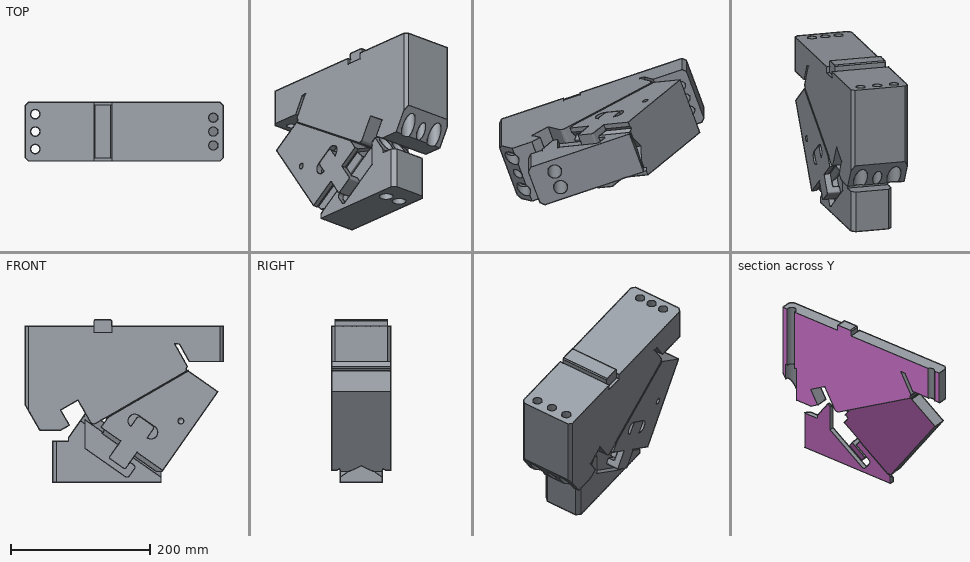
import cadquery as cq
import math


length = 285.0
width = 85.0
holder_top = 225.0
half_width = width / 2

guide_angle = 35.0
plate_angle = 30.0
roof_angle = 30.0
guide_cos = math.cos(math.radians(guide_angle))
guide_sin = math.sin(math.radians(guide_angle))
plate_cos = math.cos(math.radians(plate_angle))
plate_sin = math.sin(math.radians(plate_angle))
roof_slope = math.tan(math.radians(roof_angle))
plate_slope = math.tan(math.radians(plate_angle))
reach = 570.0

holder_chamfer = 4.8
end_block_bottom = 173.5
holder_bottom = 75.0
left_wall_bottom = 111.5
channel_corner_x, channel_corner_z = 75.8, 118.3
channel_width = 28.5
channel_wall = 25.0
tooth_fillet = 5.7
plate_line_x, plate_line_z = 125.7, 99.0
holder_end_x = 231.7
bevel_x, bevel_z = 233.5, 166.7
slot_end_x, slot_end_z = 215.0, 199.8
slot_shoulder_x, slot_shoulder_z = 222.0, 198.6
slot_edge_x = 236.0
ridge_clearance = 0.9
notch_left = -148.2

key_left, key_right = 99.0, 124.5
key_bottom = 215.7
key_top = 234.0
key_width = 75.8
key_chamfer = 1.7

bolt_diameter = 13.0
counterbore_diameter = 20.0
counterbore_top = 128.2
left_holes_x, left_holes_pitch = 14.5, 25.0
right_holes_x, right_holes_pitch = 270.5, 20.0

driver_width = 60.7
driver_left, driver_right = 39.3, 195.5
driver_shoulder = 59.5
driver_step_x, driver_step_top = 62.0, 64.0
driver_chamfer = 5.7
eave_z = 7.5
driver_half = driver_width / 2
roof_rise = driver_half * roof_slope

recess_depth = 8.5
recess_left = 85.8
recess_bottom, recess_top = -28.8, -8.0
recess_end = -38.5
recess_entry_end = -70.7
recess_fillet = 4.3
recess_face = driver_half - recess_depth

driver_blank_top = 114.0
recess_start = -171.0
driver_bore_x, driver_bore_y = 75.2, 12.5
driver_bore_diameter = 20.0

slider_left, slider_right = -112.0, -3.7
slider_top = 147.5
slider_flat = 9.5
slider_lowest = 15.5
groove_edge = 35.5
groove_root = 31.5
guide_plate_left = -105.7
guide_plate_fillet = 1.5
wear_plate_thickness = 1.5
wear_plate_inset = 0.9
wear_plate_left, wear_plate_right = 116.0, 234.3

arm_left, arm_right = -77.5, -49.0
arm_bottom = -20.2
arm_inner = 33.0
arm_fillet = 2.5
lug_top = -10.5
lug_inner = 22.8
lug_fillet = 2.3
window_v = 44.7
window_radius = 9.7
window_depth = half_width - arm_inner
arm_top_gap = 0.5
arm_top = window_v + window_radius - arm_top_gap
arm_top_fillet = 4.3

side_hole_u, side_hole_v = -23.0, 82.6
side_hole_diameter = 8.3
side_hole_depth = 14.2


def prism(points, y_start, y_end):
    """Prism of an outline of (x, z) points between two Y positions."""
    plane = cq.Workplane("XZ", origin=(0, y_end, 0))
    return plane.polyline(points).close().extrude(y_end - y_start)


def symmetric_prism(points, half):
    return prism(points, -half, half)


def both_sides(shape):
    return shape.union(shape.mirror("XZ"))


def round_corner(shape, point, radius):
    """Fillet the edge along Y that passes nearest to an (x, z) corner."""
    middle_y = shape.val().Center().y
    corner = cq.selectors.NearestToPointSelector((point[0], middle_y, point[1]))
    return shape.edges("|Y").edges(corner).fillet(radius)


def vertical_hole(x, y, diameter, bottom, top):
    return cq.Workplane("XY", origin=(x, y, bottom)).circle(diameter / 2).extrude(top - bottom)


def guide_point(u, v):
    """(x, z) of a point u down the guide and v above the roof's lower edge."""
    x = driver_right + u * guide_cos + v * guide_sin
    z = eave_z - u * guide_sin + v * guide_cos
    return (x, z)


def guide_rectangle(u_start, u_end, v_start, v_end):
    corners = [(u_start, v_start), (u_end, v_start), (u_end, v_end), (u_start, v_end)]
    return [guide_point(u, v) for u, v in corners]


def guide_bar(section, u_start, u_end):
    """Bar along the guide whose cross-section is given as (y, v) points."""
    start_x, start_z = guide_point(u_start, 0)
    plane = cq.Plane(
        origin=(start_x, 0, start_z), xDir=(0, 1, 0), normal=(guide_cos, 0, -guide_sin)
    )
    return cq.Workplane(plane).polyline(section).close().extrude(u_end - u_start)


def roof_section(lift):
    """Everything under the driver's roof when the roof is lifted by some amount."""
    return [
        (-driver_half, -reach),
        (driver_half, -reach),
        (driver_half, lift),
        (0, roof_rise + lift),
        (-driver_half, lift),
    ]


def plate_line(x):
    """Height of the holder's inclined lower face at x."""
    return plate_line_z + (x - plate_line_x) * plate_slope


def holder_blank():
    channel_left_x = channel_corner_x - channel_width * plate_cos
    channel_left_z = channel_corner_z - channel_width * plate_sin
    lip_x = channel_left_x + channel_wall * plate_sin
    lip_z = channel_left_z - channel_wall * plate_cos
    tip_drop = channel_corner_z - plate_line(channel_corner_x)
    tip_x = channel_corner_x + tip_drop * plate_sin * plate_cos
    tip = (tip_x, plate_line(tip_x))
    outline = [
        (0, holder_top),
        (length, holder_top),
        (length, end_block_bottom),
        (slot_edge_x, end_block_bottom),
        (slot_shoulder_x, slot_shoulder_z),
        (slot_end_x, slot_end_z),
        (bevel_x, bevel_z),
        (holder_end_x, bevel_z - (bevel_x - holder_end_x) / plate_slope),
        (holder_end_x, plate_line(holder_end_x)),
        tip,
        (channel_corner_x, channel_corner_z),
        (channel_left_x, channel_left_z),
        (lip_x, lip_z),
        (lip_x - (lip_z - holder_bottom) / plate_slope, holder_bottom),
        ((left_wall_bottom - holder_bottom) * plate_slope, holder_bottom),
        (0, left_wall_bottom),
    ]
    blank = symmetric_prism(outline, half_width)
    blank = round_corner(blank, tip, tooth_fillet)
    return blank.edges("|Z and (<X or >X)").chamfer(holder_chamfer)


def ridge_notch():
    """Clearance through the tooth for the ridge of the driver's roof."""
    return guide_bar(roof_section(ridge_clearance), notch_left, slider_left)


def bolt_holes():
    """Through holes at both ends; the outer two on the left are counterbored from below."""
    holes = cq.Workplane("XY")
    for x, pitch in ((left_holes_x, left_holes_pitch), (right_holes_x, right_holes_pitch)):
        for row in (-1, 0, 1):
            holes = holes.add(vertical_hole(x, row * pitch, bolt_diameter, 0, holder_top))
    for side in (-1, 1):
        y = side * left_holes_pitch
        holes = holes.add(vertical_hole(left_holes_x, y, counterbore_diameter, 0, counterbore_top))
    return holes.combine()


def key_block(span, top):
    outline = [(key_left, key_bottom), (key_right, key_bottom), (key_right, top), (key_left, top)]
    return symmetric_prism(outline, span / 2)


def make_holder():
    key = key_block(key_width, key_top).edges("|Y and >Z").chamfer(key_chamfer)
    body = holder_blank().cut(ridge_notch()).cut(bolt_holes())
    return body.cut(key_block(width, holder_top)).union(key)


def side_recess():
    """Recess in the -Y face: open to the roof on the left, under a shoulder on the right."""
    hook = prism(
        guide_rectangle(recess_start, recess_end, recess_bottom, recess_top), -driver_half, -recess_face
    )
    for v in (recess_bottom, recess_top):
        hook = round_corner(hook, guide_point(recess_end, v), recess_fillet)
    entry = prism(
        guide_rectangle(recess_start, recess_entry_end, recess_bottom, roof_rise), -driver_half, -recess_face
    )
    right_of_wall = cq.Workplane("XY").box(reach, width, 2 * reach, centered=(False, True, True))
    return hook.union(entry).intersect(right_of_wall.translate((recess_left, 0, 0)))


def make_driver():
    slant_x = driver_step_x + (driver_blank_top - driver_step_top) * guide_sin / guide_cos
    outline = [
        (driver_left, 0),
        (driver_right, 0),
        (driver_right, driver_blank_top),
        (slant_x, driver_blank_top),
        (driver_step_x, driver_step_top),
        (driver_step_x, driver_shoulder),
        (driver_left, driver_shoulder),
    ]
    blank = symmetric_prism(outline, driver_half).edges("|Z and <X").chamfer(driver_chamfer)
    body = blank.intersect(guide_bar(roof_section(0), -reach, reach))
    body = body.cut(both_sides(side_recess()))
    for side in (-1, 1):
        y = side * driver_bore_y
        body = body.cut(vertical_hole(driver_bore_x, y, driver_bore_diameter, 0, driver_blank_top))
    return body


def groove_height(y):
    """Height of the slider's underside at a distance y from the middle."""
    return slider_flat + (groove_edge - y) * roof_slope


def slider_blank():
    blank = symmetric_prism(
        guide_rectangle(slider_left, slider_right, slider_flat, slider_top), half_width
    )
    drop = wear_plate_thickness / plate_cos
    above_plate = [
        (0, plate_line(0) - drop),
        (length, plate_line(length) - drop),
        (length, reach),
        (0, reach),
    ]
    groove = [(-groove_edge, slider_flat), (groove_edge, slider_flat), (0, groove_height(0))]
    blank = blank.cut(symmetric_prism(above_plate, half_width))
    return blank.cut(guide_bar(groove, slider_left, slider_right))


def guide_plates():
    """Pair of plates filling the space between the slider's groove and the driver's roof."""
    thickness = (groove_height(0) - roof_rise) * math.cos(math.radians(roof_angle))
    foot = groove_root - thickness * math.sin(math.radians(roof_angle))
    foot_height = roof_rise - foot * roof_slope
    section = [
        (0, roof_rise),
        (foot, foot_height),
        (groove_root, groove_height(groove_root)),
        (0, groove_height(0)),
        (-groove_root, groove_height(groove_root)),
        (-foot, foot_height),
    ]
    plates = guide_bar(section, guide_plate_left, slider_right)
    middle_x, middle_z = guide_point((guide_plate_left + slider_right) / 2, foot_height)
    for y in (-foot, foot):
        foot_edge = cq.selectors.NearestToPointSelector((middle_x, y, middle_z))
        plates = plates.edges(foot_edge).fillet(guide_plate_fillet)
    return plates


def wear_plate():
    """Thin plate on the slider's inclined top, slightly narrower than the slider."""
    shift_x = wear_plate_thickness * plate_sin
    shift_z = wear_plate_thickness * plate_cos
    outline = [
        (wear_plate_left, plate_line(wear_plate_left)),
        (wear_plate_right, plate_line(wear_plate_right)),
        (wear_plate_right + shift_x, plate_line(wear_plate_right) - shift_z),
        (wear_plate_left + shift_x, plate_line(wear_plate_left) - shift_z),
    ]
    return symmetric_prism(outline, half_width - wear_plate_inset)


def arm():
    """Retaining arm on the -Y side, with a lug that reaches into the driver's recess."""
    web = prism(
        guide_rectangle(arm_left, arm_right, arm_bottom, arm_top), -half_width, -arm_inner
    )
    lug = prism(guide_rectangle(arm_left, arm_right, arm_bottom, lug_top), -arm_inner, -lug_inner)
    shape = web.union(lug)
    shelf_x, shelf_z = guide_point((arm_left + arm_right) / 2, lug_top)
    shelf_corner = cq.selectors.NearestToPointSelector((shelf_x, -arm_inner, shelf_z))
    shape = shape.edges(shelf_corner).fillet(lug_fillet)
    for u in (arm_left, arm_right):
        shape = round_corner(shape, guide_point(u, arm_bottom), arm_fillet)
        shape = round_corner(shape, guide_point(u, arm_top), arm_top_fillet)
    return shape


def window():
    """Obround pocket in the -Y face that the top of the arm partly fills."""
    x, z = guide_point((arm_left + arm_right) / 2, window_v)
    plane = cq.Plane(origin=(x, -half_width, z), xDir=(guide_cos, 0, -guide_sin), normal=(0, -1, 0))
    span = arm_right - arm_left + 2 * window_radius
    return cq.Workplane(plane).slot2D(span, 2 * window_radius).extrude(-window_depth)


def side_hole():
    """Blind drilled hole with a conical bottom in the -Y face."""
    x, z = guide_point(side_hole_u, side_hole_v)
    radius = side_hole_diameter / 2
    bottom = side_hole_depth - half_width
    tip = bottom + radius * plate_slope
    half_section = [(x, -half_width), (x + radius, -half_width), (x + radius, bottom), (x, tip)]
    drill = cq.Workplane("XY", origin=(0, 0, z)).polyline(half_section).close()
    return drill.revolve(360, (x, 0, 0), (x, 1, 0))


def make_slider():
    body = slider_blank().union(guide_plates()).union(wear_plate())
    body = body.cut(both_sides(window())).cut(both_sides(side_hole()))
    body = body.union(both_sides(arm()))
    below = [
        (0, slider_lowest),
        (length, slider_lowest),
        (length, slider_lowest - reach),
        (0, slider_lowest - reach),
    ]
    return body.cut(symmetric_prism(below, half_width))


holder = make_holder()
driver = make_driver()
slider = make_slider()
result = cq.Compound.makeCompound([body.solids().val() for body in (holder, driver, slider)])